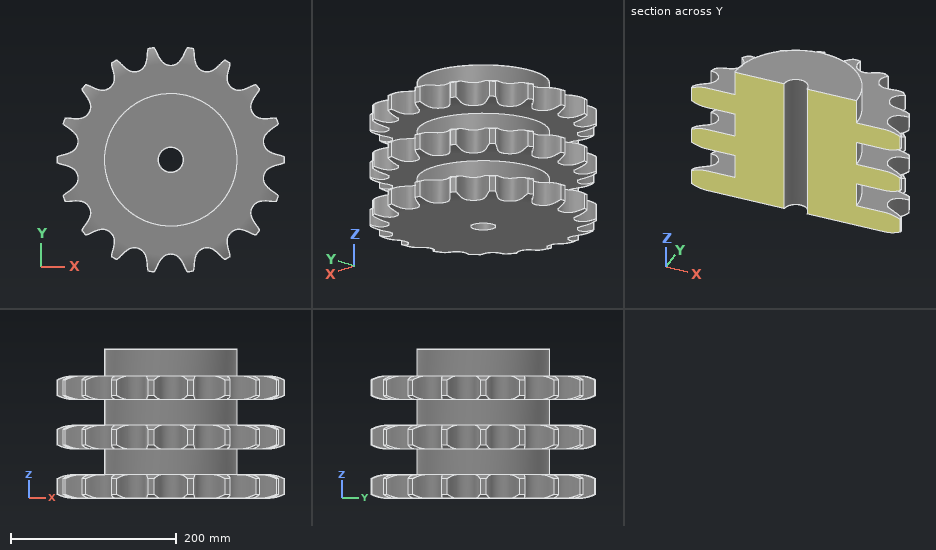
import cadquery as cq
import math


chain_pitch = 44.45
roller_diameter = 27.94
strand_spacing = 59.56
strand_count = 3

tooth_count = 18
outer_diameter = 273.99
tooth_width = 28.8
crown_start_radius = 116.6
crown_depth = 5.0

hub_diameter = 160.0
bore_diameter = 30.0
total_height = 180.0

pitch_angle = 2 * math.pi / tooth_count
half_pitch_angle = pitch_angle / 2
pitch_radius = chain_pitch / 2 / math.sin(half_pitch_angle)
outer_radius = outer_diameter / 2
crown_length = outer_radius - crown_start_radius
crown_radius = (crown_length**2 + crown_depth**2) / (2 * crown_depth)

seat_diameter_factor = 1.005
seat_clearance = 0.0762
working_centre_factor = 0.8
topping_centre_factor = 1.4
seat_radius = (seat_diameter_factor * roller_diameter + seat_clearance) / 2
seat_end_angle = math.radians(35 + 60 / tooth_count)
working_angle = math.radians(18 - 56 / tooth_count)
topping_angle = math.radians(17 - 64 / tooth_count)
working_centre_distance = working_centre_factor * roller_diameter
topping_centre_distance = topping_centre_factor * roller_diameter
working_radius = working_centre_distance + seat_radius
topping_radius = (
    working_centre_distance * math.cos(working_angle)
    + topping_centre_distance * math.cos(topping_angle)
    - working_radius
)
flank_length = (
    topping_centre_distance * math.sin(topping_angle)
    - working_centre_distance * math.sin(working_angle)
)


def polar(centre, radius, angle):
    """Point at a radius and angle (radians) from a centre."""
    return (centre[0] + radius * math.cos(angle), centre[1] + radius * math.sin(angle))


def circle_crossing_angle(centre, radius):
    """Direction from the centre to the point where its circle meets the tip circle.

    Of the two crossings, this is the one clockwise from the line to the sprocket axis,
    as seen from the centre.
    """
    distance = math.hypot(*centre)
    to_axis = math.atan2(-centre[1], -centre[0])
    cosine = (distance**2 + radius**2 - outer_radius**2) / (2 * distance * radius)
    return to_axis - math.acos(cosine)


def right_gap_curve():
    """Half of the tooth gap centred on +Y, from the gap bottom to the tooth tip on its +X side.

    Each entry is (middle point, end point); a middle point of None means a straight line.
    """
    seat_centre = (0.0, pitch_radius)
    gap_bottom_angle = -math.pi / 2
    working_centre = polar(seat_centre, working_centre_distance, math.pi - seat_end_angle)
    topping_centre = polar(seat_centre, topping_centre_distance, -half_pitch_angle)
    flank_normal = working_angle - seat_end_angle

    seat_middle = polar(seat_centre, seat_radius, (gap_bottom_angle - seat_end_angle) / 2)
    seat_end = polar(seat_centre, seat_radius, -seat_end_angle)
    working_middle = polar(working_centre, working_radius, (flank_normal - seat_end_angle) / 2)
    flank_start = polar(working_centre, working_radius, flank_normal)
    flank_end = polar(flank_start, flank_length, flank_normal + math.pi / 2)

    topping_start = flank_normal - math.pi
    topping_end = circle_crossing_angle(topping_centre, topping_radius)
    topping_middle = polar(topping_centre, topping_radius, (topping_start + topping_end) / 2)
    tip_corner = polar(topping_centre, topping_radius, topping_end)
    return [
        (seat_middle, seat_end),
        (working_middle, flank_start),
        (None, flank_end),
        (topping_middle, tip_corner),
    ]


def mirrored(point):
    """Point reflected across the Y axis; a missing middle point stays missing."""
    return None if point is None else (-point[0], point[1])


def rotated(point, angle):
    """Point turned clockwise about the sprocket axis."""
    x, y = point
    return (
        x * math.cos(angle) + y * math.sin(angle),
        y * math.cos(angle) - x * math.sin(angle),
    )


def add_segment(outline, middle, end, angle):
    """Continue the outline with one arc or line of the gap turned by the angle."""
    if middle is None:
        return outline.lineTo(*rotated(end, angle))
    return outline.threePointArc(rotated(middle, angle), rotated(end, angle))


def toothed_blank():
    """Straight-sided toothed plate, gap by gap around the axis."""
    rising = right_gap_curve()
    gap_bottom = (0.0, pitch_radius - seat_radius)
    path_ends = [gap_bottom] + [end for _, end in rising]

    falling = []
    for (middle, _), start in zip(reversed(rising), reversed(path_ends[:-1])):
        falling.append((mirrored(middle), mirrored(start)))

    tip_middle = rotated((0.0, outer_radius), half_pitch_angle)
    tip_end = rotated(mirrored(path_ends[-1]), pitch_angle)

    outline = cq.Workplane("XY").moveTo(*mirrored(path_ends[-1]))
    for tooth in range(tooth_count):
        angle = tooth * pitch_angle
        for middle, end in falling + rising + [(tip_middle, tip_end)]:
            outline = add_segment(outline, middle, end, angle)
    return outline.close().extrude(tooth_width)


def crowned_disc():
    """Disc whose rim is relieved on both sides by an arc tangent to the flat face."""
    middle_angle = math.asin(crown_length / crown_radius) / 2
    middle_radius = crown_start_radius + crown_radius * math.sin(middle_angle)
    middle_depth = crown_radius * (1 - math.cos(middle_angle))
    return (
        cq.Workplane("XZ")
        .lineTo(crown_start_radius, 0)
        .threePointArc((middle_radius, middle_depth), (outer_radius, crown_depth))
        .lineTo(outer_radius, tooth_width - crown_depth)
        .threePointArc(
            (middle_radius, tooth_width - middle_depth),
            (crown_start_radius, tooth_width),
        )
        .lineTo(0, tooth_width)
        .close()
        .revolve(360, (0, 0, 0), (0, 1, 0))
    )


def sprocket():
    """Hub with the tooth rows stacked from its lower face, bored through."""
    tooth_row = toothed_blank().intersect(crowned_disc())
    body = cq.Workplane("XY").circle(hub_diameter / 2).extrude(total_height)
    for strand in range(strand_count):
        body = body.union(tooth_row.translate((0, 0, strand * strand_spacing)))
    bore = cq.Workplane("XY").circle(bore_diameter / 2).extrude(total_height)
    return body.cut(bore)


result = sprocket()